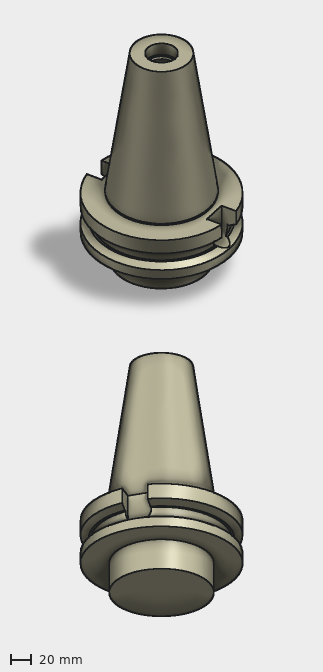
import cadquery as cq
import math

total_height = 241.8
flange_diameter = 155.0

nose_diameter = 100.0
nose_height = 31.5

flange_top = 77.1
groove_center = 51.7
groove_floor_width = 11.0
groove_floor_diameter = 135.0
groove_flank_diameter = 139.8
groove_flank_angle = 30

taper_large_diameter = 108.3
taper_small_diameter = 61.0
taper_bottom = 80.0
rim_height = 1.0
neck_diameter = 106.5

hole_entry_diameter = 31.5
hole_entry_depth = 13.3
hole_seat_diameter = 31.0
hole_seat_depth = 15.2
hole_start_depth = 16.7
hole_diameter = 26.5
hole_depth = 48.4
drill_point_angle = 118

slot_width = 25.9
slot_bottom = 42.8
slot_floor_offset = 59.7


def revolve_profile(points):
    """Revolve (radius, height) points around the Z axis."""
    return cq.Workplane("XZ").polyline(points).close().revolve(360, (0, 0), (0, 1))


def make_body():
    flange_radius = flange_diameter / 2
    floor_radius = groove_floor_diameter / 2
    flank_radius = groove_flank_diameter / 2
    floor_low = groove_center - groove_floor_width / 2
    floor_high = groove_center + groove_floor_width / 2
    rim_bottom = taper_bottom - rim_height
    flank_height = (flange_radius - flank_radius) * math.tan(math.radians(groove_flank_angle))
    return revolve_profile([
        (0, 0),
        (nose_diameter / 2, 0),
        (nose_diameter / 2, nose_height),
        (flange_radius, nose_height),
        (flange_radius, floor_low - flank_height),
        (flank_radius, floor_low),
        (floor_radius, floor_low),
        (floor_radius, floor_high),
        (flank_radius, floor_high),
        (flange_radius, floor_high + flank_height),
        (flange_radius, flange_top),
        (neck_diameter / 2, flange_top),
        (neck_diameter / 2, rim_bottom),
        (taper_large_diameter / 2, rim_bottom),
        (taper_large_diameter / 2, taper_bottom),
        (taper_small_diameter / 2, total_height),
        (0, total_height),
    ])


def make_drawbar_hole():
    """Stepped blind hole with a conical seat and a conical drill point."""
    entry_radius = hole_entry_diameter / 2
    hole_radius = hole_diameter / 2
    seat_radius = hole_seat_diameter / 2
    entry_end = total_height - hole_entry_depth
    seat_end = total_height - hole_seat_depth
    hole_start = total_height - hole_start_depth
    hole_end = total_height - hole_depth
    point_height = hole_radius / math.tan(math.radians(drill_point_angle / 2))
    return revolve_profile([
        (0, total_height),
        (entry_radius, total_height),
        (entry_radius, entry_end),
        (seat_radius, entry_end),
        (seat_radius, seat_end),
        (hole_radius, hole_start),
        (hole_radius, hole_end),
        (0, hole_end - point_height),
    ])


def make_drive_slot(side):
    """Round-bottomed slot, open at the flange top and rim, on the side given by the sign of X."""
    slot_radius = slot_width / 2
    arc_center = slot_bottom + slot_radius
    return (
        cq.Workplane("YZ")
        .workplane(offset=side * slot_floor_offset)
        .moveTo(-slot_radius, flange_top)
        .lineTo(-slot_radius, arc_center)
        .threePointArc((0, slot_bottom), (slot_radius, arc_center))
        .lineTo(slot_radius, flange_top)
        .close()
        .extrude(side * (flange_diameter / 2 - slot_floor_offset))
    )


result = make_body().cut(make_drawbar_hole())
for side in (-1, 1):
    result = result.cut(make_drive_slot(side))